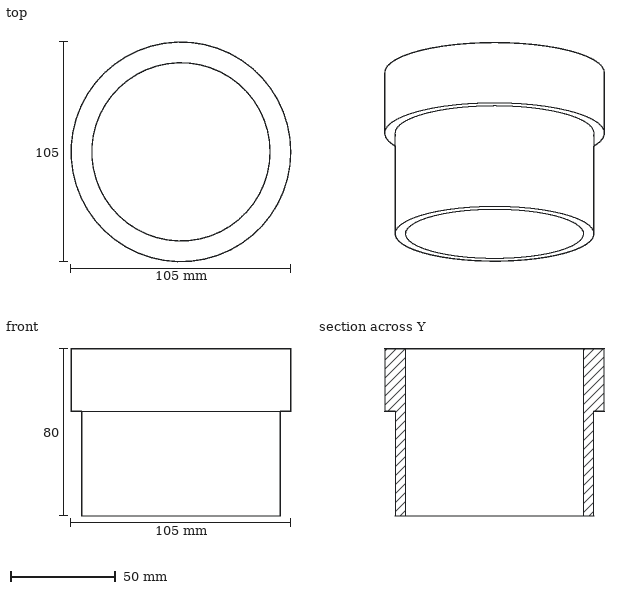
import cadquery as cq

bore_diameter = 85.0
spigot_wall = 5.0
collar_step = 5.0
spigot_height = 50.0
collar_height = 30.0

spigot_diameter = bore_diameter + 2 * spigot_wall
collar_diameter = spigot_diameter + 2 * collar_step


def ring(outer_diameter, base_z, height):
    """Ring around the Z axis, open through the common bore."""
    return (
        cq.Workplane("XY")
        .workplane(offset=base_z)
        .circle(outer_diameter / 2)
        .circle(bore_diameter / 2)
        .extrude(height)
    )


spigot = ring(spigot_diameter, 0, spigot_height)
collar = ring(collar_diameter, spigot_height, collar_height)

result = spigot.union(collar)